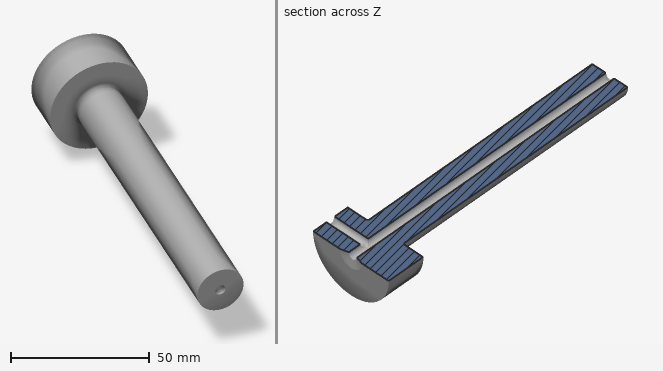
import cadquery as cq

total_length = 134.0
head_diameter = 38.0
head_length = 18.0
shaft_diameter = 18.0
neck_fillet_radius = 1.0
bore_diameter = 4.0
countersink_diameter = 11.1
countersink_depth = 1.0
side_hole_diameter = 4.0


def turned_body():
    """Round head and shaft, with a fillet where they meet."""
    head_radius = head_diameter / 2
    shaft_radius = shaft_diameter / 2
    fillet_end = head_length + neck_fillet_radius
    return (
        cq.Workplane("XY")
        .lineTo(0, head_radius)
        .lineTo(head_length, head_radius)
        .lineTo(head_length, shaft_radius + neck_fillet_radius)
        .radiusArc((fillet_end, shaft_radius), -neck_fillet_radius)
        .lineTo(total_length, shaft_radius)
        .lineTo(total_length, 0)
        .close()
        .revolve(360, (0, 0), (1, 0))
    )


def countersink():
    """Conical entry that narrows from the head face to the bore."""
    profile = [
        (0, 0),
        (0, countersink_diameter / 2),
        (countersink_depth, bore_diameter / 2),
        (countersink_depth, 0),
    ]
    return cq.Workplane("XY").polyline(profile).close().revolve(360, (0, 0), (1, 0))


def side_hole():
    """Radial hole from the +Y side at mid-head, reaching the bore axis."""
    return (
        cq.Workplane("XZ")
        .center(head_length / 2, 0)
        .circle(side_hole_diameter / 2)
        .extrude(-head_diameter / 2)
    )


through_bore = cq.Workplane("YZ").circle(bore_diameter / 2).extrude(total_length)
result = turned_body().cut(through_bore).cut(countersink()).cut(side_hole())